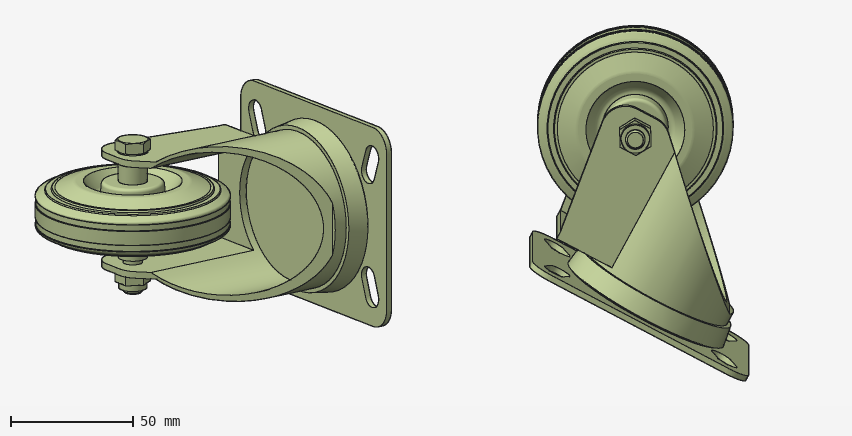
import cadquery as cq
import math


plate_length = 100.1
plate_width = 85.0
plate_thickness = 2.5
plate_corner_radius = 9.3
plate_back_y = 67.0
plate_front_y = plate_back_y - plate_thickness
plate_center_x = 37.0

slot_width = 9.0
slot_outer_end = (40.0, 30.0)
slot_inner_end = (37.3, 22.4)

swivel_x = 39.0
neck_diameter = 69.6
neck_height = 0.6
cup_large_diameter = 72.3
cup_small_diameter = 69.6
cup_height = 8.8
cup_top_y = plate_front_y - neck_height
cup_bottom_y = cup_top_y - cup_height

fork_diameter = 66.0
fork_bore_diameter = 61.0
fork_bore_x = plate_center_x
fork_width = 50.0
leg_thickness = 2.8
fork_gap = fork_width - 2 * leg_thickness
web_top_y = 53.0
web_thickness = 3.4
web_bottom_y = web_top_y - web_thickness
fork_back_x = -8.1
leg_end_radius = 10.0
leg_end_y = -leg_end_radius
leg_back_corner_x = -16.0
leg_front_corner_x = 8.5
skirt_front_x = 70.1

wheel_diameter = 80.0
wheel_width = 25.0
wheel_half_width = wheel_width / 2
sleeve_diameter = 12.0
sleeve_length = 40.1
hub_radius = 13.0
hub_fillet = 1.5
hub_base_radius = 13.5
recess_diameter = 40.4
recess_floor_height = 5.3
recess_floor_radius = 14.0
recess_curve_middle = (15.6, 5.7)
recess_wall_foot = (16.5, 6.6)
shoulder_start_radius = 23.4
shoulder_middle = (23.9, 12.5)
shoulder_end = (24.4, 12.3)
upper_step_height = 9.8
lower_step_height = 9.0
cone_end_radius = 31.9
upper_step_radius = 33.0
upper_step_base_radius = 33.4
lower_step_radius = 35.7
lower_step_base = (36.1, 8.5)
tread_side_foot = (37.1, 8.1)
tread_side_end = (39.2, 7.1)
tread_round_middle = (39.8, 6.7)
tread_round_end_height = 6.2
groove_diameter = 79.4
groove_inner_height = 3.2
groove_outer_height = 5.6
groove_edge_height = 0.3

axle_diameter = 8.0
hex_across_flats = 12.7
hex_across_corners = hex_across_flats / math.cos(math.pi / 6)
washer_face_diameter = 12.5
washer_face_height = 0.5
head_height = 4.8
head_chamfer_diameter = 12.3
head_chamfer_height = 0.4
nut_height = 5.3
collar_diameter = 11.7
collar_height = 2.7
bolt_end_length = 2.0
bolt_end_chamfer = 0.8


def disc_along_y(center_x, diameter, top_y, bottom_y):
    """Cylinder parallel to Y, from top_y down to bottom_y."""
    return (
        cq.Workplane("XZ", origin=(center_x, top_y, 0))
        .circle(diameter / 2)
        .extrude(top_y - bottom_y)
    )


def make_mounting_plate():
    plate = (
        cq.Workplane("XZ", origin=(plate_center_x, plate_back_y, 0))
        .rect(plate_length, plate_width)
        .extrude(plate_thickness)
        .edges("|Y")
        .fillet(plate_corner_radius)
    )
    run_x = slot_outer_end[0] - slot_inner_end[0]
    run_z = slot_outer_end[1] - slot_inner_end[1]
    slot_length = math.hypot(run_x, run_z) + slot_width
    slot_angle = math.degrees(math.atan2(run_z, run_x))
    slot_x = (slot_outer_end[0] + slot_inner_end[0]) / 2
    slot_z = (slot_outer_end[1] + slot_inner_end[1]) / 2
    for side_x in (-1, 1):
        for side_z in (-1, 1):
            slot = (
                cq.Workplane("XZ", origin=(plate_center_x, plate_back_y, 0))
                .center(side_x * slot_x, side_z * slot_z)
                .slot2D(slot_length, slot_width, side_x * side_z * slot_angle)
                .extrude(plate_thickness)
            )
            plate = plate.cut(slot)
    return plate


def make_swivel_head():
    neck = disc_along_y(swivel_x, neck_diameter, plate_front_y, cup_top_y)
    cup = (
        cq.Workplane("XZ", origin=(swivel_x, cup_top_y, 0))
        .circle(cup_large_diameter / 2)
        .workplane(offset=cup_height)
        .circle(cup_small_diameter / 2)
        .loft()
    )
    return neck.union(cup)


def make_fork_envelope():
    """Block with the fork's side outline: tapered legs at the back, a slanted skirt at the front."""
    skirt_end_x = swivel_x + fork_diameter / 2
    return (
        cq.Workplane("XY", origin=(0, 0, -fork_diameter / 2))
        .moveTo(fork_back_x, cup_bottom_y)
        .lineTo(fork_back_x, web_bottom_y)
        .lineTo(leg_back_corner_x, leg_end_y)
        .lineTo(leg_front_corner_x, leg_end_y)
        .lineTo(skirt_front_x, web_bottom_y)
        .lineTo(skirt_end_x, web_bottom_y)
        .lineTo(skirt_end_x, cup_bottom_y)
        .close()
        .extrude(fork_diameter)
        .faces("<Y")
        .edges("|Z")
        .fillet(leg_end_radius)
    )


def make_leg_block(top_y, width):
    """Box centred on Z = 0, from the back of the legs to the swivel axis and up to top_y."""
    return (
        cq.Workplane("XY")
        .box(swivel_x - leg_back_corner_x, top_y - leg_end_y, width, centered=(False, False, True))
        .translate((leg_back_corner_x, leg_end_y, 0))
    )


def make_fork():
    skirt = disc_along_y(swivel_x, fork_diameter, cup_bottom_y, leg_end_y)
    legs_and_web = make_leg_block(web_top_y, fork_width)
    leg_gap = make_leg_block(web_bottom_y, fork_gap)
    bore = disc_along_y(fork_bore_x, fork_bore_diameter, web_top_y, leg_end_y)
    axle_hole = cq.Workplane("XY").circle(axle_diameter / 2).extrude(fork_width, both=True)
    return (
        skirt.union(legs_and_web)
        .intersect(make_fork_envelope())
        .cut(leg_gap)
        .cut(bore)
        .cut(axle_hole)
    )


def make_bracket():
    """Plate, swivel head and fork in one piece."""
    return make_mounting_plate().union(make_swivel_head()).union(make_fork())


def make_wheel():
    """One half revolved about the axle and turned over to make the other, sleeve included."""
    axle_radius = axle_diameter / 2
    sleeve_radius = sleeve_diameter / 2
    sleeve_end_height = sleeve_length / 2
    wheel_radius = wheel_diameter / 2
    groove_radius = groove_diameter / 2
    hub_top_radius = hub_radius - hub_fillet
    hub_side_height = wheel_half_width - hub_fillet
    fillet_middle_offset = hub_fillet * math.sqrt(0.5)
    hub_fillet_middle = (hub_top_radius + fillet_middle_offset, hub_side_height + fillet_middle_offset)
    half = (
        cq.Workplane("XZ")
        .moveTo(axle_radius, 0)
        .lineTo(axle_radius, sleeve_end_height)
        .lineTo(sleeve_radius, sleeve_end_height)
        .lineTo(sleeve_radius, wheel_half_width)
        .lineTo(hub_top_radius, wheel_half_width)
        .threePointArc(hub_fillet_middle, (hub_radius, hub_side_height))
        .lineTo(hub_base_radius, recess_floor_height)
        .lineTo(recess_floor_radius, recess_floor_height)
        .threePointArc(recess_curve_middle, recess_wall_foot)
        .lineTo(recess_diameter / 2, wheel_half_width)
        .lineTo(shoulder_start_radius, wheel_half_width)
        .threePointArc(shoulder_middle, shoulder_end)
        .lineTo(cone_end_radius, upper_step_height)
        .lineTo(upper_step_radius, upper_step_height)
        .lineTo(upper_step_base_radius, lower_step_height)
        .lineTo(lower_step_radius, lower_step_height)
        .lineTo(*lower_step_base)
        .lineTo(*tread_side_foot)
        .lineTo(*tread_side_end)
        .threePointArc(tread_round_middle, (wheel_radius, tread_round_end_height))
        .lineTo(wheel_radius, groove_outer_height + groove_edge_height)
        .lineTo(groove_radius, groove_outer_height)
        .lineTo(groove_radius, groove_inner_height)
        .lineTo(wheel_radius, groove_inner_height - groove_edge_height)
        .lineTo(wheel_radius, 0)
        .close()
        .revolve(360, (0, 0, 0), (0, 1, 0))
    )
    return half.union(half.rotate((0, 0, 0), (1, 0, 0), 180))


def make_hexagon(bottom_z, height):
    return (
        cq.Workplane("XY", origin=(0, 0, bottom_z))
        .polygon(6, hex_across_corners)
        .extrude(height)
    )


def make_axle_bolt():
    """Shank with a chamfered hexagon head on top, and the nut with its collar below."""
    leg_face_z = fork_width / 2
    nut_end_z = -leg_face_z - nut_height
    collar_end_z = nut_end_z - collar_height
    bolt_end_z = collar_end_z - bolt_end_length
    head_base_z = leg_face_z + washer_face_height

    washer_face = (
        cq.Workplane("XY", origin=(0, 0, leg_face_z))
        .circle(washer_face_diameter / 2)
        .extrude(washer_face_height)
    )
    chamfer_run = (hex_across_corners - head_chamfer_diameter) / 2
    head_envelope = (
        cq.Workplane("XY", origin=(0, 0, head_base_z))
        .circle(hex_across_corners / 2)
        .extrude(head_height)
        .edges()
        .chamfer(head_chamfer_height, chamfer_run)
    )
    head = make_hexagon(head_base_z, head_height).intersect(head_envelope)
    shank = (
        cq.Workplane("XY", origin=(0, 0, bolt_end_z))
        .circle(axle_diameter / 2)
        .extrude(leg_face_z - bolt_end_z)
        .faces("<Z")
        .chamfer(bolt_end_chamfer)
    )
    nut = make_hexagon(nut_end_z, nut_height)
    collar = (
        cq.Workplane("XY", origin=(0, 0, collar_end_z))
        .circle(collar_diameter / 2)
        .extrude(collar_height)
    )
    return shank.union(washer_face).union(head).union(nut).union(collar)


bracket = make_bracket()
wheel = make_wheel()
axle_bolt = make_axle_bolt()

result = cq.Compound.makeCompound([
    bracket.solids().val(),
    wheel.solids().val(),
    axle_bolt.solids().val(),
])